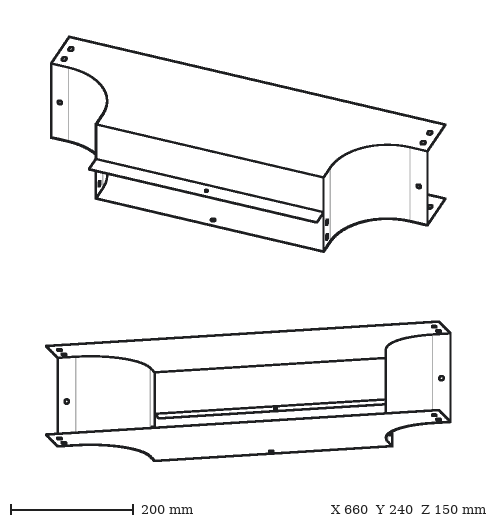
import cadquery as cq

run_length = 660.0
total_depth = 240.0
height = 150.0
sheet = 0.8

branch_width = 400.0
run_width = 80.0
collar = 30.5
flap_drop = 70.5

joint_slot_width = 7.0
joint_slot_length = 10.0
wall_hole_diameter = 7.0
lip_hole_diameter = 5.0
first_joint_slot = 30.5
joint_pitch = 30.0
lowest_wall_slot = 20.0

half_run = run_length / 2
half_branch = branch_width / 2
bend_radius = half_run - half_branch - collar
run_front = -run_width
branch_front = run_front - bend_radius - collar
lip_front = -total_depth
hole_inset = collar / 2
cut_margin = 6.5


def box(x_range, y_range, z_range):
    """Box spanning the given (low, high) ranges."""
    spans = [high - low for low, high in (x_range, y_range, z_range)]
    corner = (x_range[0], y_range[0], z_range[0])
    return cq.Workplane("XY").box(*spans, centered=False).translate(corner)


def plate(bottom_z):
    """Tee-shaped sheet with concave quarter-round inner corners."""
    bend_end = run_front - bend_radius
    bend_start_x = half_branch + bend_radius
    return (
        cq.Workplane("XY", origin=(0, 0, bottom_z))
        .moveTo(-half_run, 0)
        .lineTo(half_run, 0)
        .lineTo(half_run, run_front)
        .lineTo(bend_start_x, run_front)
        .radiusArc((half_branch, bend_end), -bend_radius)
        .lineTo(half_branch, branch_front)
        .lineTo(-half_branch, branch_front)
        .lineTo(-half_branch, bend_end)
        .radiusArc((-bend_start_x, run_front), -bend_radius)
        .lineTo(-half_run, run_front)
        .close()
        .extrude(sheet)
    )


def curved_wall():
    """Wall at +X: collar along the run, quarter bend, collar along the branch."""
    bend_start_x = half_branch + bend_radius
    bend_end = run_front - bend_radius
    inner_radius = bend_radius + sheet
    return (
        cq.Workplane("XY")
        .moveTo(half_run, run_front)
        .lineTo(bend_start_x, run_front)
        .radiusArc((half_branch, bend_end), -bend_radius)
        .lineTo(half_branch, branch_front)
        .lineTo(half_branch - sheet, branch_front)
        .lineTo(half_branch - sheet, bend_end)
        .radiusArc((bend_start_x, run_front + sheet), inner_radius)
        .lineTo(half_run, run_front + sheet)
        .close()
        .extrude(height)
    )


def front_flap():
    """Sheet folded down from the top plate, then outwards into a lip."""
    width = (-half_branch, half_branch)
    flap_bottom = height - flap_drop
    between_walls = (-half_branch + sheet, half_branch - sheet)
    flap = box(between_walls, (branch_front, branch_front + sheet), (flap_bottom, height))
    lip = box(width, (lip_front, branch_front), (flap_bottom, flap_bottom + sheet))
    return flap.union(lip)


def run_joint_slots():
    """Vertical cutters for the slot pairs at both ends of the run."""
    end_x = half_run - hole_inset
    slot_rows = [-first_joint_slot, -first_joint_slot - joint_pitch]
    points = [(x, y) for x in (-end_x, end_x) for y in slot_rows]
    return (
        cq.Workplane("XY", origin=(0, 0, -cut_margin))
        .pushPoints(points)
        .slot2D(joint_slot_length, joint_slot_width, 90)
        .extrude(height + 2 * cut_margin)
    )


def branch_joint_slots():
    """Cutters along X for the slot pair in each branch collar."""
    y = branch_front + hole_inset
    points = [(y, lowest_wall_slot + row * joint_pitch) for row in (0, 1)]
    return (
        cq.Workplane("YZ", origin=(-half_run, 0, 0))
        .pushPoints(points)
        .slot2D(joint_slot_length, joint_slot_width, 90)
        .extrude(run_length)
    )


def run_wall_holes():
    """Cutters along Y for the hole at mid height of each run collar."""
    end_x = half_run - hole_inset
    return (
        cq.Workplane("XZ", origin=(0, run_front + sheet + cut_margin, 0))
        .pushPoints([(-end_x, height / 2), (end_x, height / 2)])
        .circle(wall_hole_diameter / 2)
        .extrude(sheet + 2 * cut_margin)
    )


def vertical_hole(y, sheet_bottom, diameter):
    """Cutter for a hole on the centre plane through one horizontal sheet."""
    return (
        cq.Workplane("XY", origin=(0, y, sheet_bottom - cut_margin))
        .circle(diameter / 2)
        .extrude(sheet + 2 * cut_margin)
    )


wall = curved_wall()
shell = plate(0).union(plate(height - sheet)).union(wall).union(wall.mirror("YZ"))
shell = shell.union(front_flap())

lip_hole_y = (lip_front + branch_front) / 2
floor_hole_y = branch_front + hole_inset
result = (
    shell.cut(run_joint_slots())
    .cut(branch_joint_slots())
    .cut(run_wall_holes())
    .cut(vertical_hole(lip_hole_y, height - flap_drop, lip_hole_diameter))
    .cut(vertical_hole(floor_hole_y, 0, wall_hole_diameter))
)